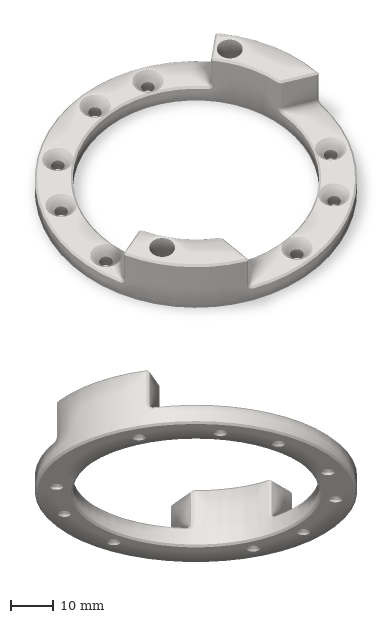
import cadquery as cq
import math

outer_radius = 38.0
inner_radius = 29.0
ring_height = 5.0
total_height = 15.0
edge_chamfer = 0.5
root_fillet = 1.0

radial_wall_1 = 110
radial_wall_2 = 270
slant_direction_1 = 45
slant_direction_2 = -21
slant_distance_1 = 14.1
slant_distance_2 = 14.6

bolt_circle_radius = 33.05
pair_spacing = 60
pair_offset = 17
block_hole_angles = [103, 283]
empty_angles = [77, 317]
hole_diameter = 3.2
countersink_diameter = 7.4
countersink_angle = 90
block_bore_diameter = 6.1

cutter_inner_radius = 0.6 * inner_radius
cutter_wall_radius = 2 * outer_radius
cutter_corner_radius = 4 * outer_radius


def polar(radius, angle):
    """Point at a distance from the ring axis and an angle in degrees."""
    angle_rad = math.radians(angle)
    return (radius * math.cos(angle_rad), radius * math.sin(angle_rad))


def point_on_slant(radius, direction, distance):
    """Point where a slanted wall crosses a circle around the ring axis.

    The wall passes to the left of the axis, seen along its direction, when the
    distance is positive, and to the right when it is negative.
    """
    return polar(radius, direction + math.degrees(math.asin(distance / radius)))


def gap_cutter(points):
    """Cutter for the space between two blocks, rounded where walls and floor meet."""
    return (
        cq.Workplane("XY", origin=(0, 0, ring_height))
        .polyline(points)
        .close()
        .extrude(total_height)
        .faces("<Z")
        .edges()
        .fillet(root_fillet)
    )


def screw_hole(angle, in_block):
    """Cutter for a countersunk through hole.

    In a block the countersink is narrower and continues upward as a plain bore.
    """
    hole_radius = hole_diameter / 2
    full_sink_radius = countersink_diameter / 2
    sink_radius = block_bore_diameter / 2 if in_block else full_sink_radius
    depth_per_radius = 1 / math.tan(math.radians(countersink_angle / 2))
    sink_floor = ring_height - (full_sink_radius - hole_radius) * depth_per_radius
    sink_top = sink_floor + (sink_radius - hole_radius) * depth_per_radius
    profile = [
        (0, 0),
        (hole_radius, 0),
        (hole_radius, sink_floor),
        (sink_radius, sink_top),
        (sink_radius, total_height),
        (0, total_height),
    ]
    return (
        cq.Workplane("XZ")
        .polyline(profile)
        .close()
        .revolve(360, (0, 0, 0), (0, 1, 0))
        .translate(polar(bolt_circle_radius, angle))
    )


radial_gap = gap_cutter([
    (0, 0),
    polar(cutter_wall_radius, radial_wall_1),
    polar(cutter_corner_radius, (radial_wall_1 + radial_wall_2) / 2),
    polar(cutter_wall_radius, radial_wall_2),
])
slant_gap = gap_cutter([
    point_on_slant(cutter_inner_radius, slant_direction_1, slant_distance_1),
    point_on_slant(cutter_inner_radius, slant_direction_2, -slant_distance_2),
    point_on_slant(cutter_wall_radius, slant_direction_2, -slant_distance_2),
    polar(cutter_corner_radius, 0),
    point_on_slant(cutter_wall_radius, slant_direction_1, slant_distance_1),
])
ring = (
    cq.Workplane("XY")
    .circle(outer_radius)
    .circle(inner_radius)
    .extrude(total_height)
    .cut(radial_gap)
    .cut(slant_gap)
)

flat_face_edges = ring.faces("<Z or >Z").edges()
upright_block_edges = ring.edges("|Z").edges(">Z")
ring = flat_face_edges.add(upright_block_edges).chamfer(edge_chamfer)

for pair_direction in range(0, 360, pair_spacing):
    for offset in (-pair_offset, pair_offset):
        hole_angle = (pair_direction + offset) % 360
        if hole_angle not in empty_angles:
            ring = ring.cut(screw_hole(hole_angle, hole_angle in block_hole_angles))

result = ring